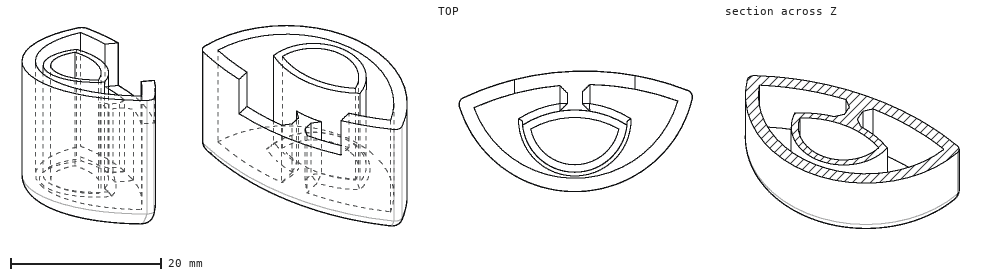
import math

import cadquery as cq

HEIGHT = 18.0
WALL = 1.8
FLOOR = 2.0
FRONT_RADIUS = 16.1
REAR_RADIUS = 38.2
REAR_CENTRE = (1.25, -38.2)
CORNER_RADIUS = 1.0
BOTTOM_FILLET = 2.0

NOTCH_WIDTH = 16.0
NOTCH_SILL = 12.0

BOSS_TOP = HEIGHT
BOSS_WALL = 1.0
BOSS_FRONT_RADIUS = 7.0
BOSS_FRONT_CENTRE = (0.0, -6.5)
BOSS_REAR_RADIUS = 13.0
BOSS_REAR_CENTRE = (0.0, -18.2)
BOSS_FRONT_CHAMFER = 0.5
BOSS_REAR_CHAMFER = 1.0

RIB_WIDTH = 2.0
RIB_CHAMFER = 1.0


def disc(centre, radius, bottom, top):
    """Upright cylinder between two heights."""
    return cq.Workplane("XY", origin=(*centre, bottom)).circle(radius).extrude(top - bottom)


def cone(centre, radius, chamfer):
    """45 degree cone standing on the floor that narrows to the given radius."""
    solid = cq.Solid.makeCone(radius + chamfer, radius, chamfer, cq.Vector(*centre, FLOOR))
    return cq.Workplane(solid)


def cup_lens(inset, bottom, top):
    """Cup outline moved inwards by an inset."""
    front = disc((0, 0), FRONT_RADIUS - inset, bottom, top)
    rear = disc(REAR_CENTRE, REAR_RADIUS - inset, bottom, top)
    return front.intersect(rear)


def boss_lens(inset, bottom, top):
    """Boss outline moved inwards by an inset."""
    front = disc(BOSS_FRONT_CENTRE, BOSS_FRONT_RADIUS - inset, bottom, top)
    rear = disc(BOSS_REAR_CENTRE, BOSS_REAR_RADIUS - inset, bottom, top)
    return front.intersect(rear)


def arc_y(centre, radius, x):
    """Y of the rearward side of a circle at a given X."""
    return centre[1] + math.sqrt(radius**2 - (x - centre[0]) ** 2)


def make_cup():
    outside = cup_lens(0, 0, HEIGHT)
    outside = outside.edges("|Z").fillet(CORNER_RADIUS)
    outside = outside.faces("<Z").edges().fillet(BOTTOM_FILLET)
    return outside.cut(cup_lens(WALL, FLOOR, HEIGHT))


def make_notch():
    """Block that opens the rear wall above the sill, reaching back from the boss."""
    return cq.Workplane("XY", origin=(0, BOSS_FRONT_CENTRE[1], NOTCH_SILL)).box(
        NOTCH_WIDTH, FRONT_RADIUS, HEIGHT - NOTCH_SILL, centered=(True, False, False)
    )


def make_boss():
    """Boss with a chamfered skirt where its walls meet the floor."""
    front = disc(BOSS_FRONT_CENTRE, BOSS_FRONT_RADIUS, FLOOR, BOSS_TOP).union(
        cone(BOSS_FRONT_CENTRE, BOSS_FRONT_RADIUS, BOSS_FRONT_CHAMFER)
    )
    rear = disc(BOSS_REAR_CENTRE, BOSS_REAR_RADIUS, FLOOR, BOSS_TOP).union(
        cone(BOSS_REAR_CENTRE, BOSS_REAR_RADIUS, BOSS_REAR_CHAMFER)
    )
    return front.intersect(rear)


def make_corner_gusset(side, foot, boss_end):
    """Sloping foot of the upright chamfer between the rib and the boss."""
    run = RIB_CHAMFER / math.sqrt(2)
    slope = cq.Plane(origin=(side * foot, boss_end, FLOOR), xDir=(-side, -1, 0), normal=(-1, side, 0))
    wedge = (
        cq.Workplane(slope)
        .polyline([(0, 0), (run, RIB_CHAMFER), (run, 0)])
        .close()
        .extrude(run, both=True)
    )

    corner_x = side * (foot - RIB_CHAMFER / 2)
    corner_y = boss_end - RIB_CHAMFER / 2
    corner = (
        cq.Workplane("XY", origin=(corner_x, corner_y, FLOOR))
        .rect(RIB_CHAMFER, RIB_CHAMFER)
        .extrude(RIB_CHAMFER)
    )
    return wedge.intersect(corner)


def make_rib():
    rib_side = RIB_WIDTH / 2
    foot = rib_side + RIB_CHAMFER
    boss_y = arc_y(BOSS_REAR_CENTRE, BOSS_REAR_RADIUS, foot)
    left_wall_y = arc_y(REAR_CENTRE, REAR_RADIUS - WALL, -foot)
    right_wall_y = arc_y(REAR_CENTRE, REAR_RADIUS - WALL, foot)
    boss_end = boss_y + RIB_CHAMFER
    overlap = WALL / 2

    web = (
        cq.Workplane("XY", origin=(0, 0, FLOOR))
        .moveTo(-foot, boss_y)
        .lineTo(foot, boss_y)
        .lineTo(rib_side, boss_end)
        .lineTo(rib_side, right_wall_y - RIB_CHAMFER)
        .lineTo(foot, right_wall_y)
        .lineTo(foot, right_wall_y + overlap)
        .lineTo(-foot, left_wall_y + overlap)
        .lineTo(-foot, left_wall_y)
        .lineTo(-rib_side, left_wall_y - RIB_CHAMFER)
        .lineTo(-rib_side, boss_end)
        .close()
        .extrude(NOTCH_SILL - FLOOR)
    )

    skirt = (
        cq.Workplane("XZ", origin=(0, boss_end, FLOOR))
        .polyline([(-foot, 0), (foot, 0), (rib_side, RIB_CHAMFER), (-rib_side, RIB_CHAMFER)])
        .close()
        .extrude(-(left_wall_y - boss_end))
    )

    rib = web.union(skirt)
    for side in (-1, 1):
        rib = rib.union(make_corner_gusset(side, foot, boss_end))
    return rib


result = (
    make_cup()
    .cut(make_notch())
    .union(make_boss())
    .union(make_rib())
    .cut(boss_lens(BOSS_WALL, FLOOR, BOSS_TOP))
)